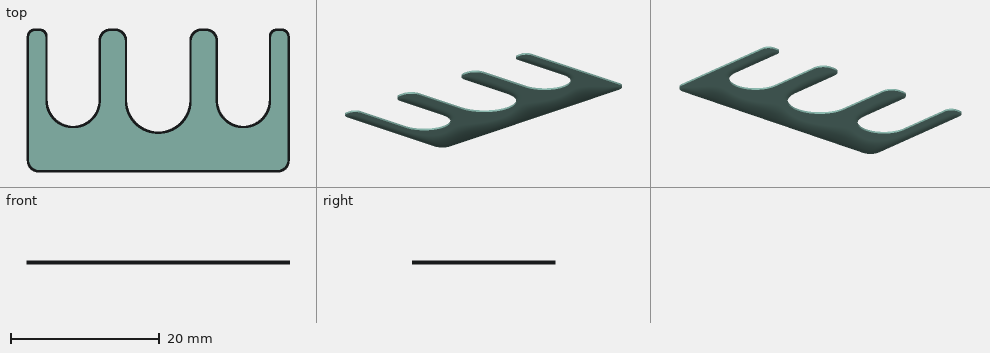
import cadquery as cq

length = 35.05
width = 19.05
thickness = 0.25

slot_pitch = 11.43
center_slot_width = 8.64
side_slot_width = 7.11
slot_arc_center_y = 0

outer_tip_radius = 1.0
corner_radius = 1.5

front_y = width / 2
back_y = -width / 2
position_tolerance = 0.1


def blank():
    """Rectangular sheet the comb is cut from."""
    return cq.Workplane("XY").box(length, width, thickness, centered=(True, True, False))


def slot_cutter(center_x, slot_width):
    """Slot with a semicircular end, running out through the +Y edge."""
    radius = slot_width / 2
    left_x = center_x - radius
    right_x = center_x + radius
    return (
        cq.Workplane("XY")
        .moveTo(left_x, front_y)
        .lineTo(left_x, slot_arc_center_y)
        .threePointArc((center_x, slot_arc_center_y - radius), (right_x, slot_arc_center_y))
        .lineTo(right_x, front_y)
        .close()
        .extrude(thickness)
    )


def round_corners(body, y, nearest_x, farthest_x, radius):
    """Round the vertical edges at the given Y whose |X| lies between the two limits."""
    corners = (
        body.edges("|Z")
        .filter(lambda edge: abs(edge.Center().y - y) < position_tolerance)
        .filter(lambda edge: nearest_x < abs(edge.Center().x) < farthest_x)
    )
    return corners.fillet(radius)


body = blank()
body = body.cut(slot_cutter(0, center_slot_width))
for side in (-1, 1):
    body = body.cut(slot_cutter(side * slot_pitch, side_slot_width))

body = round_corners(body, front_y, 0, slot_pitch, corner_radius)
body = round_corners(body, front_y, slot_pitch, length, outer_tip_radius)
body = round_corners(body, back_y, 0, length, corner_radius)

result = body